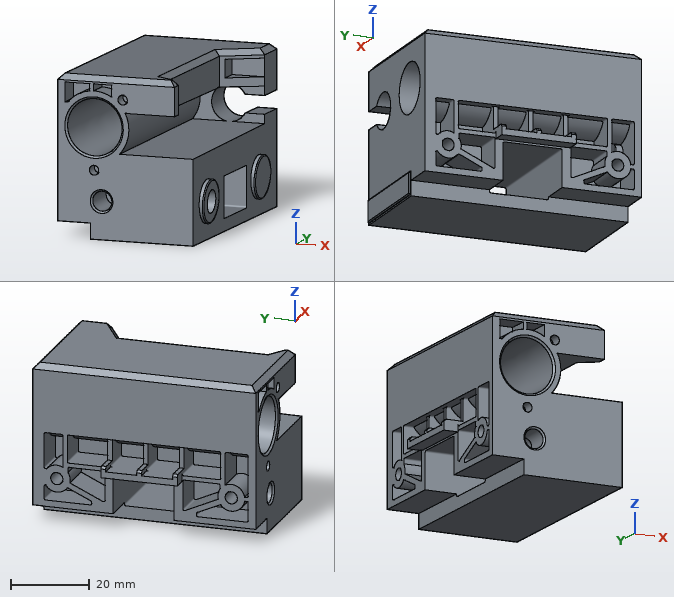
import cadquery as cq

BLOCK_X, BLOCK_Y, BLOCK_Z = 37.1, 60.15, 42.5
TOP_CHAMFER = 1.5
STEP_X, STEP_Z = 9.0, 4.2
MARGIN = 0.6

NOTCH_X = 27.05
FRONT_ARM_X = 32.0
FRONT_ARM_Y = 3.0
NOTCH_START_Y, NOTCH_END_Y = 6.05, 45.3
REAR_ARM_Y = 51.25
UNDERCUT_X = 28.25
UNDERCUT_BOTTOM, UNDERCUT_TOP = 35.3, 40.15

BORE_X, BORE_Z = 10.0, 29.1
BORE_FRONT_R, BORE_REAR_R = 7.45, 6.9
BORE_LEAD_R, BORE_LEAD_DEPTH = 8.0, 0.55
BORE_WALL_R = 9.5
RIB_WALL_R = 8.7

ROD_X, ROD_Z, ROD_R = 27.55, 27.95, 4.9
ROD_GAP = 4.85
CHANNEL_BOTTOM, CHANNEL_TOP = 22.6, 33.35
CHANNEL_DRAFT = 0.5

FRONT_POCKETS_X = [(2.05, 8.8), (9.8, 14.8)]
FRONT_POCKET_BOTTOM, FRONT_POCKET_TOP = 35.3, 40.45
FRONT_POCKET_DEPTH = 6.05

SCREW_R, SCREW_DEPTH = 1.3, 3.65
UPPER_SCREW_X, UPPER_SCREW_Z = 17.85, 36.75
LOWER_SCREW_X, LOWER_SCREW_Z = BORE_X, 18.0
SCREW_BOSS_R, SCREW_BOSS_Y = 2.55, 3.95

FOOT_R, FOOT_Z, FOOT_HEIGHT = 5.75, 10.0, 1.4
FOOT_DROP = 0.4
FOOT_CHAMFER = 0.3
FEET_Y = [10.1, 47.2]
FOOT_BORE_R = 3.05
CROSS_X, CROSS_R, CROSS_CHAMFER = 12.05, 2.6, 0.5

RIB_MID_Y = 30.15
FRONT_WALL_Y, REAR_WALL_Y = 2.05, 57.1
UPPER_POCKET_TOP, UPPER_POCKET_DEPTH = 24.15, 9.0
OUTER_POCKET_HALF_Y = 20.7
OUTER_RIB_THICKNESS = 1.2
OUTER_FLOOR_Z = 16.55
END_FLOOR_Z = {"front": 12.55, "rear": 14.4}
LOWER_POCKET_DEPTH = UPPER_POCKET_DEPTH
SMALL_POCKET_BOTTOM = 5.9
SMALL_POCKET_TOP = {"front": 11.45, "rear": 9.8}
SMALL_POCKET_END = (16.0, 6.9)
SMALL_POCKET_BEND = (9.4, 9.9)
LARGE_POCKET_Y = (9.65, 19.65)
LARGE_POCKET_TOP = 15.4
LARGE_POCKET_SLOPE = (11.45, 6.9)
INNER_RIB_SETBACK = 1.5
BOLT_OFFSET = 23.55
BOLT_Z, BOLT_R, BOLT_BOSS_R, BOLT_DEPTH = 12.0, 1.65, 3.65, 8.5
POCKET_FILLET = 0.4

WINDOW_Y, WINDOW_Z = (22.1, 38.45), (3.4, 14.5)
WINDOW_FILLET = 0.5

TONGUE_X, TONGUE_HALF_Y = 4.0, 10.3
TONGUE_BOTTOM, TONGUE_FLOOR, TONGUE_TOP = 15.05, 16.75, 18.0
RIB_THICKNESS = 1.3
RIB_CHAMFER = 0.6

PAD_X, PAD_Z, PAD_HEIGHT = (9.2, 36.9), (0.5, 6.7), 0.5
PAD_CHAMFER = 0.3


def box(x, y, z):
    """Box between pairs of limits."""
    size = (x[1] - x[0], y[1] - y[0], z[1] - z[0])
    return cq.Workplane("XY").box(*size, centered=False).translate((x[0], y[0], z[0]))


def cylinder_y(x, z, radius, y_start, y_end):
    """Cylinder along Y."""
    plane = cq.Workplane("XZ", origin=(x, y_start, z))
    return plane.circle(radius).extrude(y_start - y_end)


def cylinder_x(y, z, radius, x_start, x_end):
    """Cylinder along X."""
    plane = cq.Workplane("YZ", origin=(x_start, y, z))
    return plane.circle(radius).extrude(x_end - x_start)


def cone_y(x, z, start_radius, end_radius, y_start, y_end):
    """Cone along +Y."""
    solid = cq.Solid.makeCone(
        start_radius, end_radius, y_end - y_start, cq.Vector(x, y_start, z), cq.Vector(0, 1, 0)
    )
    return cq.Workplane(obj=solid)


def mirrored(y):
    """Y position reflected in the middle of the ribbed side."""
    return 2 * RIB_MID_Y - y


def make_block():
    seam_z = (CHANNEL_BOTTOM + CHANNEL_TOP) / 2
    lower = box((0, BLOCK_X), (0, BLOCK_Y), (0, seam_z))
    step = box((-MARGIN, STEP_X), (-MARGIN, BLOCK_Y + MARGIN), (-MARGIN, STEP_Z))
    outline = [
        (0, 0),
        (FRONT_ARM_X, 0),
        (FRONT_ARM_X, FRONT_ARM_Y),
        (NOTCH_X, NOTCH_START_Y),
        (NOTCH_X, NOTCH_END_Y),
        (BLOCK_X, REAR_ARM_Y),
        (BLOCK_X, BLOCK_Y),
        (0, BLOCK_Y),
    ]
    upper = cq.Workplane("XY", origin=(0, 0, seam_z)).polyline(outline).close()
    upper = upper.extrude(BLOCK_Z - seam_z).faces(">Z").edges().chamfer(TOP_CHAMFER)
    undercut = box(
        (UNDERCUT_X, BLOCK_X + MARGIN), (NOTCH_END_Y, REAR_ARM_Y), (UNDERCUT_BOTTOM, UNDERCUT_TOP)
    )
    return lower.union(upper).cut(step).cut(undercut)


def make_channel():
    """Channel open to the front and to +X, curved around the main bore."""
    side = [
        (0, CHANNEL_BOTTOM),
        (REAR_ARM_Y, CHANNEL_BOTTOM + CHANNEL_DRAFT),
        (REAR_ARM_Y, CHANNEL_TOP - CHANNEL_DRAFT),
        (0, CHANNEL_TOP),
    ]
    channel = cq.Workplane("YZ", origin=(BORE_X, 0, 0)).polyline(side).close()
    channel = channel.extrude(BLOCK_X + MARGIN - BORE_X)
    return channel.cut(cylinder_y(BORE_X, BORE_Z, BORE_WALL_R, -MARGIN, BLOCK_Y))


def make_rod_seat():
    y_range = (-MARGIN, BLOCK_Y + MARGIN)
    gap = box((ROD_X, BLOCK_X + MARGIN), y_range, (ROD_Z - ROD_GAP / 2, ROD_Z + ROD_GAP / 2))
    return cylinder_y(ROD_X, ROD_Z, ROD_R, *y_range).union(gap)


def make_bore():
    lead = cone_y(BORE_X, BORE_Z, BORE_LEAD_R, BORE_FRONT_R, 0, BORE_LEAD_DEPTH)
    return cone_y(BORE_X, BORE_Z, BORE_FRONT_R, BORE_REAR_R, 0, BLOCK_Y).union(lead)


def make_front_pockets():
    pockets = cq.Workplane("XY")
    for x_range in FRONT_POCKETS_X:
        z_range = (FRONT_POCKET_BOTTOM, FRONT_POCKET_TOP)
        pockets = pockets.add(box(x_range, (0, FRONT_POCKET_DEPTH), z_range))
    pockets = pockets.combine()
    return pockets.cut(cylinder_y(BORE_X, BORE_Z, BORE_WALL_R, -MARGIN, BLOCK_Y))


def make_upper_pockets():
    """Row of six side pockets separated by ribs, reaching in to the bore wall."""
    inner_half = TONGUE_HALF_Y - RIB_THICKNESS
    rib_half = RIB_THICKNESS / 2
    outer_half = OUTER_POCKET_HALF_Y
    end_half = outer_half + OUTER_RIB_THICKNESS
    cells = [
        (FRONT_WALL_Y, RIB_MID_Y - end_half, END_FLOOR_Z["front"]),
        (RIB_MID_Y - outer_half, RIB_MID_Y - TONGUE_HALF_Y, OUTER_FLOOR_Z),
        (RIB_MID_Y - inner_half, RIB_MID_Y - rib_half, TONGUE_FLOOR),
        (RIB_MID_Y + rib_half, RIB_MID_Y + inner_half, TONGUE_FLOOR),
        (RIB_MID_Y + TONGUE_HALF_Y, RIB_MID_Y + outer_half, OUTER_FLOOR_Z),
        (RIB_MID_Y + end_half, REAR_WALL_Y, END_FLOOR_Z["rear"]),
    ]
    pockets = cq.Workplane("XY")
    for y_start, y_end, floor in cells:
        cell = box((0, UPPER_POCKET_DEPTH), (y_start, y_end), (floor, UPPER_POCKET_TOP))
        pockets = pockets.add(cell.edges("|X").fillet(POCKET_FILLET))
    setback = box(
        (0, INNER_RIB_SETBACK),
        (RIB_MID_Y - TONGUE_HALF_Y - MARGIN, RIB_MID_Y + TONGUE_HALF_Y + MARGIN),
        (TONGUE_TOP, UPPER_POCKET_TOP),
    )
    pockets = pockets.combine().union(setback)
    screw_boss = cylinder_y(LOWER_SCREW_X, LOWER_SCREW_Z, SCREW_BOSS_R, 0, SCREW_BOSS_Y)
    bore_wall = cylinder_y(BORE_X, BORE_Z, RIB_WALL_R, 0, BLOCK_Y)
    return pockets.cut(bore_wall).cut(screw_boss)


def make_lower_pockets():
    """Two pockets on each side of the window, split by a sloping rib."""
    boss_y = RIB_MID_Y - BOLT_OFFSET
    large = [
        (LARGE_POCKET_Y[0], LARGE_POCKET_SLOPE[0]),
        (LARGE_POCKET_Y[1], LARGE_POCKET_SLOPE[1]),
        (LARGE_POCKET_Y[1], LARGE_POCKET_TOP),
        (LARGE_POCKET_Y[0], LARGE_POCKET_TOP),
    ]
    rib_side = [
        (SMALL_POCKET_END[0], SMALL_POCKET_BOTTOM),
        SMALL_POCKET_END,
        SMALL_POCKET_BEND,
        (boss_y, SMALL_POCKET_TOP["front"]),
    ]
    front_small = rib_side + [
        (FRONT_WALL_Y, SMALL_POCKET_TOP["front"]),
        (FRONT_WALL_Y, SMALL_POCKET_BOTTOM),
    ]
    rear_small = [(mirrored(y), z) for y, z in rib_side] + [
        (REAR_WALL_Y, SMALL_POCKET_TOP["rear"]),
        (REAR_WALL_Y, SMALL_POCKET_BOTTOM),
    ]
    rear_large = [(mirrored(y), z) for y, z in large]
    pockets = cq.Workplane("XY")
    for outline in (large, front_small, rear_large, rear_small):
        pocket = cq.Workplane("YZ").polyline(outline).close().extrude(LOWER_POCKET_DEPTH)
        pockets = pockets.add(pocket.edges("|X").fillet(POCKET_FILLET))
    return pockets.combine()


def make_side_pockets():
    pockets = make_upper_pockets().union(make_lower_pockets())
    for side in (-1, 1):
        bolt_y = RIB_MID_Y + side * BOLT_OFFSET
        pockets = pockets.cut(cylinder_x(bolt_y, BOLT_Z, BOLT_BOSS_R, -MARGIN, BLOCK_X))
        pockets = pockets.union(cylinder_x(bolt_y, BOLT_Z, BOLT_R, 0, BOLT_DEPTH))
    return pockets


def make_tongue():
    y_range = (RIB_MID_Y - TONGUE_HALF_Y, RIB_MID_Y + TONGUE_HALF_Y)
    tongue = box((-TONGUE_X, 0), y_range, (TONGUE_BOTTOM, TONGUE_FLOOR))
    for rib_start in (y_range[0], RIB_MID_Y - RIB_THICKNESS / 2, y_range[1] - RIB_THICKNESS):
        rib = box((-TONGUE_X, 0), (rib_start, rib_start + RIB_THICKNESS), (TONGUE_BOTTOM, TONGUE_TOP))
        tongue = tongue.union(rib.edges("<X and >Z").chamfer(RIB_CHAMFER))
    return tongue


def make_foot(y):
    """Disc on the +X face whose outer face leans back towards the bottom."""
    rim_r = FOOT_R - FOOT_CHAMFER
    lean = FOOT_DROP / (2 * rim_r)
    middle = FOOT_HEIGHT - FOOT_DROP / 2
    profile = [
        (0, -FOOT_R),
        (middle - lean * FOOT_R, -FOOT_R),
        (middle + lean * FOOT_R, FOOT_R),
        (0, FOOT_R),
    ]
    wedge = cq.Workplane("XZ", origin=(BLOCK_X, y, FOOT_Z)).polyline(profile).close()
    wedge = wedge.extrude(FOOT_R, both=True)
    disc = cylinder_x(y, FOOT_Z, FOOT_R, BLOCK_X, BLOCK_X + 2 * FOOT_HEIGHT)
    return disc.intersect(wedge).faces(">X").edges().chamfer(FOOT_CHAMFER)


def make_cross_hole():
    """Chamfered hole in the front face that runs into the bore of the front foot."""
    mouth = cone_y(CROSS_X, FOOT_Z, CROSS_R + CROSS_CHAMFER, CROSS_R, 0, CROSS_CHAMFER)
    hole = cylinder_y(CROSS_X, FOOT_Z, CROSS_R, 0, FEET_Y[0])
    foot_bore = cylinder_x(FEET_Y[0], FOOT_Z, FOOT_BORE_R, CROSS_X, BLOCK_X + 2 * FOOT_HEIGHT)
    return hole.union(mouth).union(foot_bore)


def make_pad():
    pad = box(PAD_X, (BLOCK_Y, BLOCK_Y + PAD_HEIGHT), PAD_Z)
    return pad.faces(">Y").edges().chamfer(PAD_CHAMFER)


result = make_block().cut(make_channel()).cut(make_rod_seat()).cut(make_bore())
result = result.cut(make_front_pockets()).cut(make_side_pockets())
window = box((-MARGIN, BLOCK_X + MARGIN), WINDOW_Y, WINDOW_Z)
result = result.cut(window.edges("|X").fillet(WINDOW_FILLET))
for screw_x, screw_z in ((UPPER_SCREW_X, UPPER_SCREW_Z), (LOWER_SCREW_X, LOWER_SCREW_Z)):
    result = result.cut(cylinder_y(screw_x, screw_z, SCREW_R, 0, SCREW_DEPTH))
for foot_y in FEET_Y:
    result = result.union(make_foot(foot_y))
result = result.cut(make_cross_hole()).union(make_tongue()).union(make_pad())